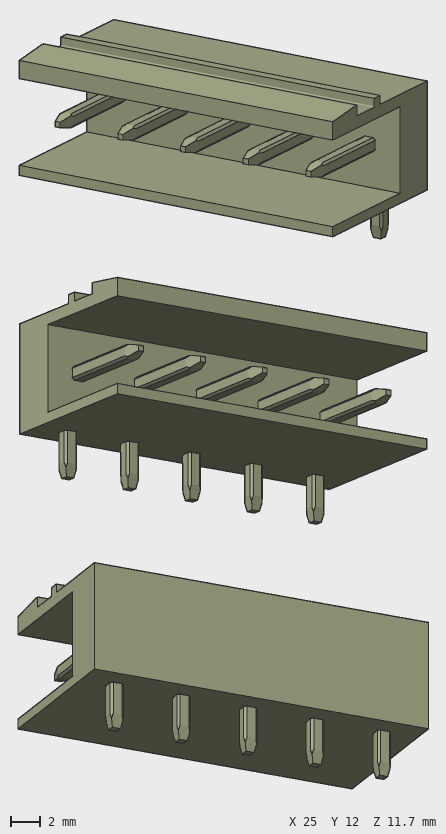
import cadquery as cq


LENGTH = 25.0
DEPTH = 12.0
DECK_HEIGHT = 7.75
BACK_WALL = 3.45
FLOOR = 0.72
ROOF = 0.88

RIB_OFFSET = 5.98
RIB_WIDTH = 0.78
RIB_HEIGHT = 0.62
RIB_FILLET = 0.08

LATCH_LENGTH = 3.1
LATCH_HEIGHT = 0.75
LATCH_CREST = 0.3
LATCH_LIP = 0.42

PIN_COUNT = 5
PIN_PITCH = 5.0
PIN_WIDTH = 1.0
PIN_DIAMETER = 1.2
CONTACT_HEIGHT = 3.8
CONTACT_REACH = 11.1
CONTACT_TAPER = 1.25
CONTACT_TIP = 0.4
TAIL_OFFSET = 2.1
TAIL_REACH = 3.2
TAIL_TAPER = 0.95
TAIL_TIP = 0.6


def make_housing():
    """C-shaped profile, open towards -Y, extruded along the row of pins."""
    rib_front = RIB_OFFSET + RIB_WIDTH
    latch_back = DEPTH - LATCH_LENGTH
    roof_underside = DECK_HEIGHT - ROOF
    profile = [
        (0, 0),
        (0, DECK_HEIGHT),
        (-RIB_OFFSET, DECK_HEIGHT),
        (-RIB_OFFSET, DECK_HEIGHT + RIB_HEIGHT),
        (-rib_front, DECK_HEIGHT + RIB_HEIGHT),
        (-rib_front, DECK_HEIGHT),
        (-latch_back, DECK_HEIGHT),
        (-latch_back, DECK_HEIGHT + LATCH_HEIGHT),
        (-latch_back - LATCH_CREST, DECK_HEIGHT + LATCH_HEIGHT),
        (-DEPTH, DECK_HEIGHT + LATCH_LIP),
        (-DEPTH, roof_underside),
        (-BACK_WALL, roof_underside),
        (-BACK_WALL, FLOOR),
        (-DEPTH, FLOOR),
        (-DEPTH, 0),
    ]
    body = cq.Workplane("YZ").polyline(profile).close().extrude(LENGTH / 2, both=True)
    for foot in (RIB_OFFSET, rib_front):
        foot_edge = cq.selectors.NearestToPointSelector((0, -foot, DECK_HEIGHT))
        body = body.edges(foot_edge).fillet(RIB_FILLET)
    return body


def make_leg(length, taper, tip_width):
    """Square leg along +Z with corners rounded by its round stock and a pyramid tip.

    It starts half a pin width below the origin, so that two legs fill the corner of the bend.
    """
    start = -PIN_WIDTH / 2
    shank_end = length - taper
    square_leg = (
        cq.Workplane("XY", origin=(0, 0, start))
        .rect(PIN_WIDTH, PIN_WIDTH)
        .extrude(shank_end - start)
    )
    tip = (
        cq.Workplane("XY", origin=(0, 0, shank_end))
        .rect(PIN_WIDTH, PIN_WIDTH)
        .workplane(offset=taper)
        .rect(tip_width, tip_width)
        .loft(ruled=True)
    )
    round_stock = (
        cq.Workplane("XY", origin=(0, 0, start))
        .circle(PIN_DIAMETER / 2)
        .extrude(length - start)
    )
    return square_leg.union(tip).intersect(round_stock)


def make_pin(x):
    """L-shaped pin: a contact leg along -Y and a tail leg along -Z."""
    contact_length = CONTACT_REACH - TAIL_OFFSET
    tail_length = CONTACT_HEIGHT + TAIL_REACH
    contact = make_leg(contact_length, CONTACT_TAPER, CONTACT_TIP).rotate((0, 0, 0), (1, 0, 0), 90)
    tail = make_leg(tail_length, TAIL_TAPER, TAIL_TIP).rotate((0, 0, 0), (1, 0, 0), 180)
    return contact.union(tail).translate((x, -TAIL_OFFSET, CONTACT_HEIGHT))


pins = [make_pin((i - (PIN_COUNT - 1) / 2) * PIN_PITCH) for i in range(PIN_COUNT)]

housing = make_housing()
for pin in pins:
    housing = housing.cut(pin)

result = cq.Compound.makeCompound([housing.val(), *[pin.val() for pin in pins]])